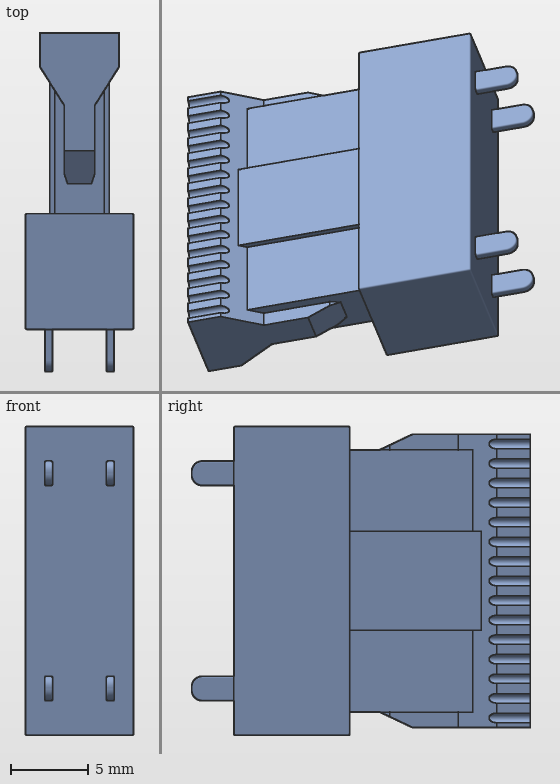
import cadquery as cq


TOTAL_LENGTH = 21.93

HOUSING_WIDTH = 7.0
HOUSING_DEPTH = 7.5
HOUSING_HEIGHT = 20.0
HOUSING_EDGE = 0.1

TOWER_WIDTH = 3.2
TOWER_HEIGHT = 16.97
BAND_WIDTH = 3.85
BAND_HEIGHT = 6.4

PIN_LENGTH = 2.75
PIN_THICKNESS = 0.5
PIN_HEIGHT = 1.6
PIN_TIP_RADIUS = 0.7
PIN_EDGE = 0.1
PIN_SPACING_X = 4.0
PIN_SPACING_Z = 13.93

GRIP_BACK = TOTAL_LENGTH - PIN_LENGTH
GRIP_HEIGHT = 19.0
HEAD_WIDTH = 5.13
HEAD_LENGTH = 2.2
NECK_WIDTH = 2.0
NECK_START = 4.67
TAPER_START = 9.1
TIP_WIDTH = 1.54
GRIP_LENGTH = 9.75
SLOPE_START = 7.63

GROOVE_COUNT = 15
GROOVE_PITCH = GRIP_HEIGHT / GROOVE_COUNT
GROOVE_RADIUS = 0.3


def block(width, depth, height):
    """Box centred in X and Z that grows from Y = 0 towards +Y."""
    return cq.Workplane("XY").box(width, depth, height, centered=(True, False, True))


def make_grip():
    half_outline = [
        (HEAD_WIDTH / 2, GRIP_BACK),
        (HEAD_WIDTH / 2, GRIP_BACK - HEAD_LENGTH),
        (NECK_WIDTH / 2, GRIP_BACK - NECK_START),
        (NECK_WIDTH / 2, GRIP_BACK - TAPER_START),
        (TIP_WIDTH / 2, GRIP_BACK - GRIP_LENGTH),
    ]
    mirrored = [(-x, y) for x, y in reversed(half_outline)]
    plate = (
        cq.Workplane("XY")
        .polyline(half_outline + mirrored)
        .close()
        .extrude(GRIP_HEIGHT / 2, both=True)
    )

    side_outline = [
        (GRIP_BACK, GRIP_HEIGHT / 2),
        (GRIP_BACK - SLOPE_START, GRIP_HEIGHT / 2),
        (GRIP_BACK - GRIP_LENGTH, TOWER_HEIGHT / 2),
    ]
    lower_side = [(y, -z) for y, z in reversed(side_outline)]
    side_profile = (
        cq.Workplane("YZ")
        .polyline(side_outline + lower_side)
        .close()
        .extrude(HEAD_WIDTH / 2, both=True)
    )
    return plate.intersect(side_profile).cut(make_grooves())


def make_grooves():
    """Half-round grooves along Y; they run out on the sloping flanks of the head."""
    first_z = -GROOVE_PITCH * (GROOVE_COUNT - 1) / 2
    centres = [
        (side * HEAD_WIDTH / 2, first_z + i * GROOVE_PITCH)
        for side in (-1, 1)
        for i in range(GROOVE_COUNT)
    ]
    return (
        cq.Workplane("XZ", origin=(0, GRIP_BACK, 0))
        .pushPoints(centres)
        .circle(GROOVE_RADIUS)
        .extrude(NECK_START)
    )


def flank_y(width):
    """Y at which the sloping flanks of the grip are the given width apart."""
    share = (HEAD_WIDTH - width) / (HEAD_WIDTH - NECK_WIDTH)
    return GRIP_BACK - HEAD_LENGTH - share * (NECK_START - HEAD_LENGTH)


def make_housing(grip):
    """Block and tower; the neck of the grip sits in a matching slot in the tower."""
    base = block(HOUSING_WIDTH, HOUSING_DEPTH, HOUSING_HEIGHT).edges().fillet(HOUSING_EDGE)
    tower = block(TOWER_WIDTH, flank_y(TOWER_WIDTH), TOWER_HEIGHT)
    band = block(BAND_WIDTH, flank_y(BAND_WIDTH), BAND_HEIGHT)
    return base.union(tower).union(band).cut(grip)


def make_pin(x, z):
    """Flat pin with a rounded tip and softened edges."""
    return (
        block(PIN_THICKNESS, PIN_LENGTH, PIN_HEIGHT)
        .edges("|X and <Y")
        .fillet(PIN_TIP_RADIUS)
        .faces("<X or >X")
        .edges("not >Y")
        .fillet(PIN_EDGE)
        .translate((x, -PIN_LENGTH, z))
    )


grip = make_grip()
housing = make_housing(grip)
pins = [
    make_pin(x, z)
    for x in (-PIN_SPACING_X / 2, PIN_SPACING_X / 2)
    for z in (-PIN_SPACING_Z / 2, PIN_SPACING_Z / 2)
]

result = cq.Compound.makeCompound([housing.val(), grip.val(), *[pin.val() for pin in pins]])